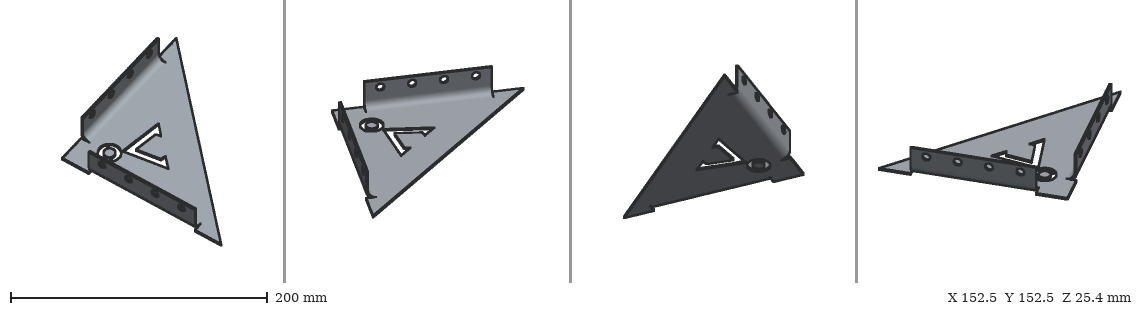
import cadquery as cq
import math

side = 152.5
pitch = side / 6
thickness = pitch / 16
bend_inner_radius = pitch / 4
hole_diameter = pitch / 4
holes_per_flange = 4
ring_center = 26.4
ring_outer_radius = 9.1
ring_inner_radius = 4.7
bridge_width = 1.2
cutout_shift = (0.3, -0.5, 0)

flange_height = pitch
flange_length = holes_per_flange * pitch
flange_start = pitch
hole_height = 0.75 * flange_height
bend_outer_radius = bend_inner_radius + thickness

v_arm = [(33.7, 33.7), (39.8, 73.3), (49.1, 63.9), (44.5, 62.6), (41.2, 41.2)]


def mirror_across_diagonal(body):
    """Swap X and Y."""
    return body.mirror(cq.Vector(1, -1, 0))


def make_plate():
    """Right triangle with a clearance along each bend."""
    plate = (
        cq.Workplane("XY")
        .polyline([(0, 0), (side, 0), (0, side)])
        .close()
        .extrude(thickness)
    )
    bend_gap = cq.Workplane("XY").box(
        flange_length, bend_outer_radius, thickness, centered=False
    ).translate((flange_start, 0, 0))
    return plate.cut(bend_gap).cut(mirror_across_diagonal(bend_gap))


def make_flange():
    """Flange along the X leg: bend, upright wall and row of holes."""
    arc_scale = math.cos(math.radians(45))
    r_out = bend_outer_radius
    outer_mid = r_out * (1 - arc_scale)
    inner_mid = r_out - bend_inner_radius * arc_scale
    flange = (
        cq.Workplane("YZ", origin=(flange_start, 0, 0))
        .moveTo(r_out, 0)
        .threePointArc((outer_mid, outer_mid), (0, r_out))
        .lineTo(0, flange_height)
        .lineTo(thickness, flange_height)
        .lineTo(thickness, r_out)
        .threePointArc((inner_mid, inner_mid), (r_out, thickness))
        .close()
        .extrude(flange_length)
    )
    hole_row = (
        cq.Workplane("XZ", origin=(flange_start + flange_length / 2, 0, hole_height))
        .rarray(pitch, 1.5, holes_per_flange, 1)
        .circle(hole_diameter / 2)
        .extrude(-thickness)
    )
    return flange.cut(hole_row)


def make_ring_cutout():
    """Ring-shaped opening, interrupted by two bridges square to the line X = Y."""
    ring = (
        cq.Workplane("XY")
        .circle(ring_outer_radius)
        .circle(ring_inner_radius)
        .extrude(thickness)
    )
    bridge = (
        cq.Workplane("XY")
        .rect(2 * ring_outer_radius, bridge_width)
        .extrude(thickness)
        .rotate((0, 0, 0), (0, 0, 1), -45)
    )
    return ring.cut(bridge).translate((ring_center, ring_center, 0))


def make_v_cutout():
    """V-shaped opening, symmetric about the line X = Y."""
    other_arm = [(y, x) for x, y in reversed(v_arm[1:-1])]
    return cq.Workplane("XY").polyline(v_arm + other_arm).close().extrude(thickness)


flange = make_flange()
result = (
    make_plate()
    .union(flange)
    .union(mirror_across_diagonal(flange))
    .cut(make_ring_cutout().translate(cutout_shift))
    .cut(make_v_cutout().translate(cutout_shift))
)